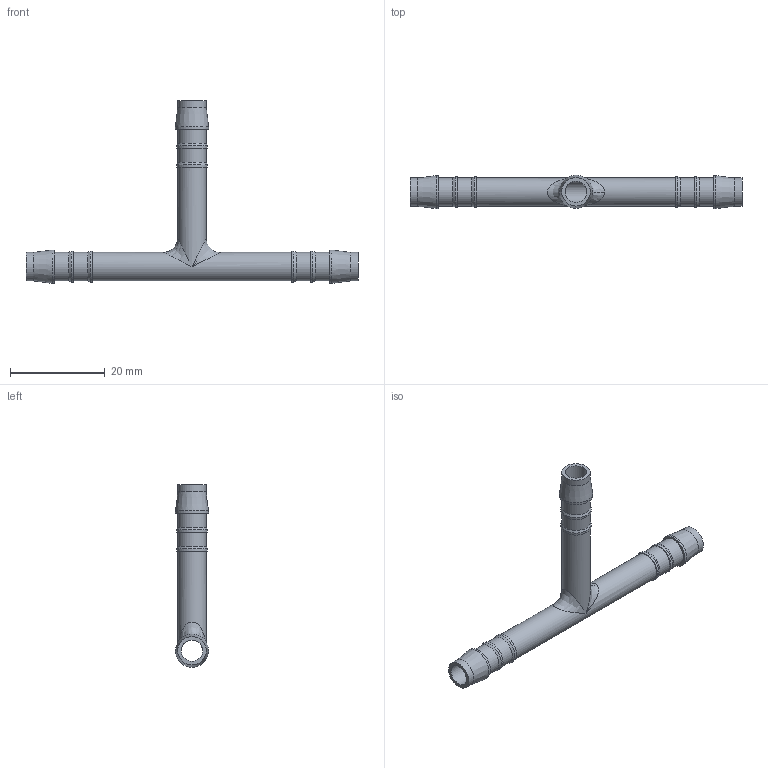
import cadquery as cq

run_length = 70.0
branch_height = 35.0

tube_radius = 3.0
bore_radius = 2.25
junction_fillet = 3.0

barb_radius = 3.5
barb_start = 1.5
barb_end = 6.0

ring_radius = 3.25
ring_length = 1.0
ring_ends = (10.0, 14.0)

land_length = 0.5

run_half = run_length / 2


def tapered_ring(start, end, radius):
    """Collar around Z that widens from the tube to radius, then runs straight to a square shoulder."""
    land_start = end - land_length
    profile = (
        cq.Workplane("XZ")
        .moveTo(bore_radius, -start)
        .lineTo(tube_radius, -start)
        .lineTo(radius, -land_start)
        .lineTo(radius, -end)
        .lineTo(bore_radius, -end)
        .close()
    )
    return profile.revolve(360, (0, 0, 0), (0, 1, 0))


def hose_end():
    """Barb and rings of one hose end, with the tip at the origin and the tube running toward -Z."""
    collars = tapered_ring(barb_start, barb_end, barb_radius)
    for ring_end in ring_ends:
        collars = collars.union(tapered_ring(ring_end - ring_length, ring_end, ring_radius))
    return collars


def tee(radius):
    """Solid tee of round bars: the full run plus the branch."""
    run = cq.Workplane("YZ").circle(radius).extrude(run_half, both=True)
    branch = cq.Workplane("XY").circle(radius).extrude(branch_height)
    return run.union(branch)


def body():
    """Solid tee with rounded inside corners where the branch meets the run."""
    corner_edges = cq.selectors.BoxSelector(
        (-tube_radius, -tube_radius, 0),
        (tube_radius, tube_radius, tube_radius),
    )
    return tee(tube_radius).edges(corner_edges).fillet(junction_fillet)


branch_end = hose_end().translate((0, 0, branch_height))
right_end = hose_end().rotate((0, 0, 0), (0, 1, 0), 90).translate((run_half, 0, 0))
left_end = right_end.mirror("YZ")

result = body()
for end in (branch_end, right_end, left_end):
    result = result.union(end)
result = result.cut(tee(bore_radius))